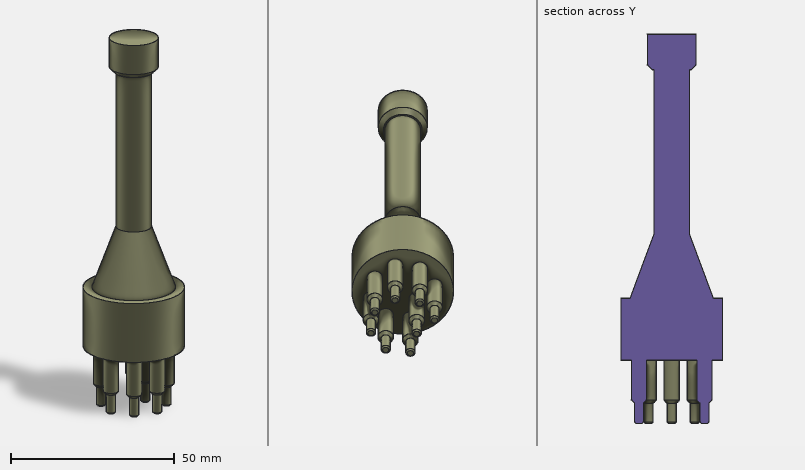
import cadquery as cq
import math

total_height = 119.0
pin_length = 19.3
base_height = 19.0
cone_height = 19.6
cap_height = 11.0

base_bottom = pin_length
base_top = base_bottom + base_height
cone_top = base_top + cone_height
cap_bottom = total_height - cap_height

base_radius = 31.0 / 2
cone_base_radius = 25.6 / 2
stem_radius = 11.0 / 2
cap_radius = 15.0 / 2
cap_chamfer = 1.5

shank_radius = 4.8 / 2
tip_radius = 2.9 / 2
tip_length = 6.2
tip_chamfer = 0.5
shoulder_height = shank_radius - tip_radius

pin_positions_on_circle = 8
pin_circle_radius = 10.0
inner_pin_radius = 5.0
inner_pin_angle = 90


def make_body():
    """Base, cone, stem and cap as one profile turned about Z."""
    return (
        cq.Workplane("XZ")
        .moveTo(0, base_bottom)
        .lineTo(base_radius, base_bottom)
        .lineTo(base_radius, base_top)
        .lineTo(cone_base_radius, base_top)
        .lineTo(stem_radius, cone_top)
        .lineTo(stem_radius, cap_bottom)
        .lineTo(cap_radius - cap_chamfer, cap_bottom)
        .lineTo(cap_radius, cap_bottom + cap_chamfer)
        .lineTo(cap_radius, total_height)
        .lineTo(0, total_height)
        .close()
        .revolve(360, (0, 0, 0), (0, 1, 0))
    )


def make_pin():
    """One pin: chamfered thin tip, 45 degree shoulder and thicker shank."""
    return (
        cq.Workplane("XZ")
        .lineTo(tip_radius - tip_chamfer, 0)
        .lineTo(tip_radius, tip_chamfer)
        .lineTo(tip_radius, tip_length)
        .lineTo(shank_radius, tip_length + shoulder_height)
        .lineTo(shank_radius, base_bottom)
        .lineTo(0, base_bottom)
        .close()
        .revolve(360, (0, 0, 0), (0, 1, 0))
    )


result = make_body()
pin = make_pin()
for index in range(pin_positions_on_circle):
    angle = index * 360 / pin_positions_on_circle
    radius = inner_pin_radius if angle == inner_pin_angle else pin_circle_radius
    pin_x = radius * math.cos(math.radians(angle))
    pin_y = radius * math.sin(math.radians(angle))
    result = result.union(pin.translate((pin_x, pin_y, 0)))